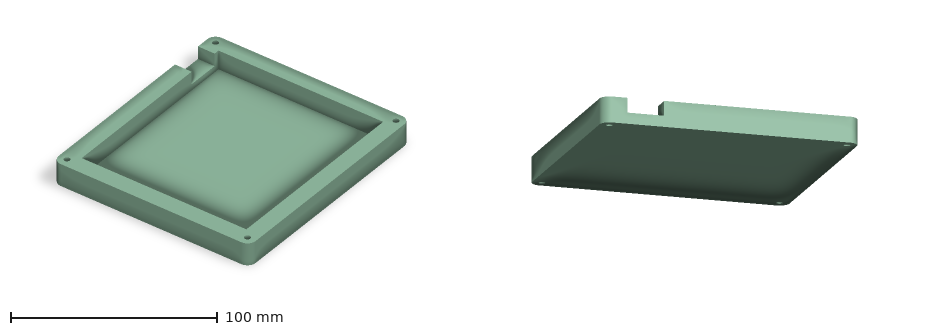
import cadquery as cq

width = 118.7
length = 130.5
height = 13
corner_radius = 5.0

wall = 10.0
wall_right = 9.4
wall_back = 9.4
floor_thickness = 2.0

notch_length = 18.7
notch_depth = 7.5
notch_back_offset = 12.5

hole_diameter = 3.4

left = -width / 2
back = length / 2


def make_body():
    body = cq.Workplane("XY").box(width, length, height, centered=(True, True, False))
    return body.edges("|Z").fillet(corner_radius)


def make_pocket():
    size_x = width - wall - wall_right
    size_y = length - wall - wall_back
    pocket = cq.Workplane("XY").box(size_x, size_y, height - floor_thickness, centered=False)
    return pocket.translate((left + wall, -back + wall, floor_thickness))


def make_notch():
    notch = cq.Workplane("XY").box(wall, notch_length, notch_depth, centered=False)
    return notch.translate((left, back - notch_back_offset - notch_length, height - notch_depth))


def make_holes():
    spacing_x = width - 2 * corner_radius
    spacing_y = length - 2 * corner_radius
    centers = cq.Workplane("XY").rect(spacing_x, spacing_y, forConstruction=True).vertices()
    return centers.circle(hole_diameter / 2).extrude(height)


result = make_body().cut(make_pocket()).cut(make_notch()).cut(make_holes())